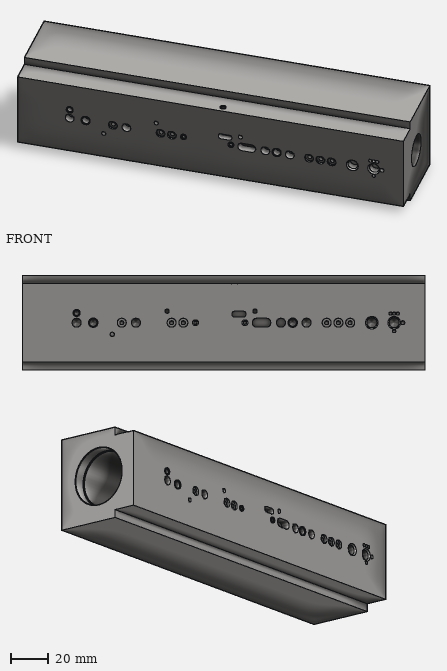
import cadquery as cq
import math

LENGTH = 215.9
HEIGHT = 50.8
BACK_Y = 25.4
FRONT_Y = -24.0
RAIL_DEPTH = 12.7
SHOULDER_STEP = 4.4
RAIL_HEIGHT = HEIGHT - 2 * SHOULDER_STEP

BORE_DIAMETER = 17.78
BORE_RELIEF_DIAMETER = 19.05
BORE_RELIEF_DEPTH = 3.0
CHAMBER_SEAT_DIAMETER = 31.2
CHAMBER_DIAMETER = 30.7
CHAMBER_DEPTH = 150.0
MOUTH_DIAMETER = 31.75
MOUTH_DEPTH = 6.4
SEAT_TAPER_LENGTH = 0.6
ENTRY_CHAMFER = 0.3

DRILL_TIP_ANGLE = 118.0
PORT_DIAMETER = 4.83
PORT_DEPTH = 5.0
RINGED_PORT_DIAMETER = 5.0
RINGED_PORT_CORE = 4.04
RING_DEPTH = 0.5
JET_SEAT_DEPTH = 1.2
JET_DIAMETER = 2.16
JET_DEPTH = 5.0

PORT_XS = (29.1, 60.9, 152.3)
RINGED_PORT_XS = (38.0, 144.9)
JET_XS = (53.3, 80.0, 86.3, 163.1, 169.4, 175.7)
FLAT_PORT_X = 138.6
FLAT_PORT_DEPTH = 5.0

SCREW_XS = (92.8, 119.3)
SCREW_DIAMETER = 3.17
SCREW_CORE = 1.7
SCREW_DEPTH = 5.0

PASSAGE_CENTERS = ((77.6, 6.2), (124.7, 6.2), (48.2, -6.2))
PASSAGE_DIAMETER = 2.26
PASSAGE_DEPTH = -FRONT_Y

VENT_CENTER = (29.1, 5.2)
VENT_DIAMETER = 3.8
VENT_CORE = 2.7
VENT_DEPTH = 4.0

LONG_SLOT_CENTER = (128.2, 0.0)
LONG_SLOT_LENGTH = 9.9
LONG_SLOT_WIDTH = 4.83
LONG_SLOT_DEPTH = 5.0
SHORT_SLOT_CENTER = (116.1, 4.6)
SHORT_SLOT_LENGTH = 7.6
SHORT_SLOT_WIDTH = 3.17
SHORT_SLOT_DEPTH = 4.0

LARGE_PORT_X = 187.3
LARGE_PORT_DIAMETER = 6.7
LARGE_PORT_CORE = 5.36
LARGE_PORT_TAPER_DEPTH = 1.0

CLUSTER_X = 199.3
CLUSTER_PIN_DIAMETER = 1.73
CLUSTER_PIN_PITCH = 1.95
CLUSTER_PIN_Z = 4.9
CLUSTER_LOWER_Z = -4.5
CLUSTER_SIDE_OFFSET = 4.6
CLUSTER_SIDE_DIAMETER = 2.16
CLUSTER_PIN_DEPTH = 3.0

TOP_HOLE_X = 113.8
TOP_HOLE_SETBACK = 4.0
TOP_HOLE_Y = FRONT_Y + TOP_HOLE_SETBACK
TOP_HOLE_DIAMETER = 3.17
TOP_HOLE_CORE = 2.26
TOP_HOLE_DEPTH = 5.0


def cylinder(diameter, depth, origin, direction):
    return cq.Workplane(cq.Solid.makeCylinder(diameter / 2, depth, cq.Vector(*origin), cq.Vector(*direction)))


def drill_tip(diameter, depth, origin, direction):
    """Cone left by the drill point below a blind hole of the given depth."""
    tip = diameter / 2 / math.tan(math.radians(DRILL_TIP_ANGLE / 2))
    start = cq.Vector(*origin) + cq.Vector(*direction) * depth
    return cq.Workplane(cq.Solid.makeCone(diameter / 2, 0, tip, start, cq.Vector(*direction)))


def drilled(diameter, depth, origin, direction):
    hole = cylinder(diameter, depth, origin, direction)
    return hole.union(drill_tip(diameter, depth, origin, direction))


def front_flat(x, z, diameter, depth):
    return cylinder(diameter, depth, (x, FRONT_Y, z), (0, 1, 0))


def front_drilled(x, z, diameter, depth):
    return drilled(diameter, depth, (x, FRONT_Y, z), (0, 1, 0))


def large_port(x):
    """Drilled port with a tapered mouth."""
    axis = cq.Vector(0, 1, 0)
    mouth = cq.Solid.makeCone(
        LARGE_PORT_DIAMETER / 2, LARGE_PORT_CORE / 2, LARGE_PORT_TAPER_DEPTH, cq.Vector(x, FRONT_Y, 0), axis
    )
    return front_drilled(x, 0, LARGE_PORT_CORE, PORT_DEPTH).union(cq.Workplane(mouth))


def front_slot(center, length, width, depth):
    x, z = center
    plane = cq.Plane(origin=(x, FRONT_Y, z), xDir=(1, 0, 0), normal=(0, -1, 0))
    return cq.Workplane(plane).slot2D(length, width).extrude(-depth)


def make_bar(front_y, height):
    """Bar of full length from the given front plane to the back face."""
    bar = cq.Workplane("XY").box(LENGTH, BACK_Y - front_y, height, centered=(False, False, True))
    return bar.translate((0, front_y, 0))


def make_body():
    return make_bar(FRONT_Y + RAIL_DEPTH, HEIGHT).union(make_bar(FRONT_Y, RAIL_HEIGHT))


def cut_bore(body):
    entry_radius = MOUTH_DIAMETER / 2 + ENTRY_CHAMFER
    taper_end = MOUTH_DEPTH + SEAT_TAPER_LENGTH
    relief_end = CHAMBER_DEPTH + BORE_RELIEF_DEPTH
    profile = [
        (0, 0),
        (0, entry_radius),
        (ENTRY_CHAMFER, MOUTH_DIAMETER / 2),
        (MOUTH_DEPTH, MOUTH_DIAMETER / 2),
        (MOUTH_DEPTH, CHAMBER_SEAT_DIAMETER / 2),
        (taper_end, CHAMBER_DIAMETER / 2),
        (CHAMBER_DEPTH, CHAMBER_DIAMETER / 2),
        (CHAMBER_DEPTH, BORE_RELIEF_DIAMETER / 2),
        (relief_end, BORE_RELIEF_DIAMETER / 2),
        (relief_end, BORE_DIAMETER / 2),
        (LENGTH, BORE_DIAMETER / 2),
        (LENGTH, 0),
    ]
    bore = cq.Workplane("XY").polyline(profile).close().revolve(360, (0, 0, 0), (1, 0, 0))
    return body.cut(bore)


def port_cutters():
    cutters = [front_drilled(x, 0, PORT_DIAMETER, PORT_DEPTH) for x in PORT_XS]
    for x in RINGED_PORT_XS:
        cutters.append(front_flat(x, 0, RINGED_PORT_DIAMETER, RING_DEPTH))
        cutters.append(front_drilled(x, 0, RINGED_PORT_CORE, PORT_DEPTH))
    for x in JET_XS:
        cutters.append(front_flat(x, 0, PORT_DIAMETER, JET_SEAT_DEPTH))
        cutters.append(front_drilled(x, 0, JET_DIAMETER, JET_DEPTH))
    cutters.append(front_flat(FLAT_PORT_X, 0, PORT_DIAMETER, FLAT_PORT_DEPTH))
    cutters.append(large_port(LARGE_PORT_X))
    return cutters


def small_hole_cutters():
    cutters = [front_flat(x, z, PASSAGE_DIAMETER, PASSAGE_DEPTH) for x, z in PASSAGE_CENTERS]
    for x in SCREW_XS:
        cutters.append(front_flat(x, 0, SCREW_DIAMETER, RING_DEPTH))
        cutters.append(front_drilled(x, 0, SCREW_CORE, SCREW_DEPTH))
    cutters.append(front_flat(*VENT_CENTER, VENT_DIAMETER, RING_DEPTH))
    cutters.append(front_drilled(*VENT_CENTER, VENT_CORE, VENT_DEPTH))
    return cutters


def slot_cutters():
    return [
        front_slot(LONG_SLOT_CENTER, LONG_SLOT_LENGTH, LONG_SLOT_WIDTH, LONG_SLOT_DEPTH),
        front_slot(SHORT_SLOT_CENTER, SHORT_SLOT_LENGTH, SHORT_SLOT_WIDTH, SHORT_SLOT_DEPTH),
    ]


def cluster_cutters():
    cutters = [
        large_port(CLUSTER_X),
        front_drilled(CLUSTER_X, CLUSTER_LOWER_Z, CLUSTER_PIN_DIAMETER, CLUSTER_PIN_DEPTH),
        front_drilled(CLUSTER_X + CLUSTER_SIDE_OFFSET, 0, CLUSTER_SIDE_DIAMETER, CLUSTER_PIN_DEPTH),
    ]
    for step in (-1, 0, 1):
        x = CLUSTER_X + step * CLUSTER_PIN_PITCH
        cutters.append(front_drilled(x, CLUSTER_PIN_Z, CLUSTER_PIN_DIAMETER, CLUSTER_PIN_DEPTH))
    return cutters


def top_hole_cutters():
    mouth = (TOP_HOLE_X, TOP_HOLE_Y, RAIL_HEIGHT / 2)
    down = (0, 0, -1)
    return [
        cylinder(TOP_HOLE_DIAMETER, RING_DEPTH, mouth, down),
        drilled(TOP_HOLE_CORE, TOP_HOLE_DEPTH, mouth, down),
    ]


all_cutters = port_cutters() + small_hole_cutters() + slot_cutters() + cluster_cutters() + top_hole_cutters()
result = cut_bore(make_body())
for cutter in all_cutters:
    result = result.cut(cutter)